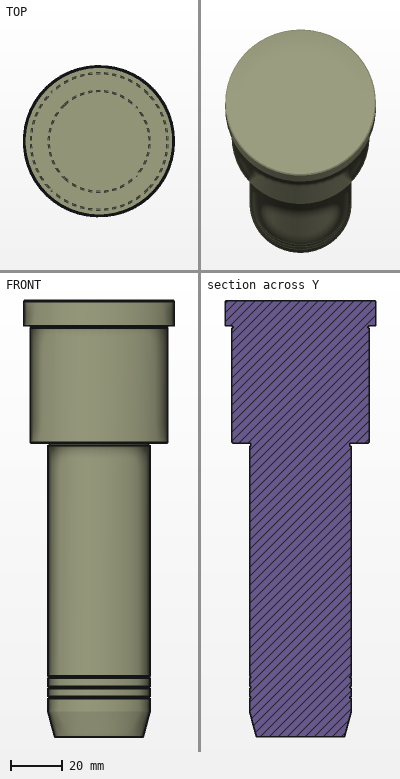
import cadquery as cq
import math

total_length = 171.0
head_diameter = 59.0
head_height = 10.0
collar_diameter = 54.0
collar_end_depth = 56.0
shank_diameter = 40.0

head_chamfer = 0.5
collar_chamfer = 0.5
tip_fillet = 0.5

neck_depth = 0.5
neck_width = 1.0

groove_width = 1.0
groove_depth = 0.5
groove_floor_width = 0.2
ring_groove_count = 3
ring_groove_pitch = 4.0
lowest_ring_groove_z = 15.5

taper_length = 10.0
taper_angle = 15.0

head_radius = head_diameter / 2
collar_radius = collar_diameter / 2
shank_radius = shank_diameter / 2
tip_radius = shank_radius - taper_length * math.tan(math.radians(taper_angle))
head_bottom_z = total_length - head_height
collar_bottom_z = total_length - collar_end_depth
neck_bottom_z = collar_bottom_z - neck_width


def cylinder(radius, bottom_z, top_z):
    """Solid cylinder on the Z axis between two heights."""
    return cq.Workplane("XY", origin=(0, 0, bottom_z)).circle(radius).extrude(top_z - bottom_z)


def revolve_section(points):
    """Solid of revolution about Z from a closed outline of (radius, z) points."""
    return cq.Workplane("XZ").polyline(points).close().revolve(360, (0, 0, 0), (0, 1, 0))


def groove_cutter(radius, groove_z):
    """Ring that cuts a tapered groove into a cylinder, centred on the given height."""
    return revolve_section(
        [
            (radius, groove_z - groove_width / 2),
            (radius - groove_depth, groove_z - groove_floor_width / 2),
            (radius - groove_depth, groove_z + groove_floor_width / 2),
            (radius, groove_z + groove_width / 2),
        ]
    )


def make_head():
    """Flange with a chamfered top edge."""
    return cylinder(head_radius, head_bottom_z, total_length).faces(">Z").edges().chamfer(head_chamfer)


def make_collar():
    """Fitting collar with a tapered groove under the head and a chamfered lower edge."""
    collar = cylinder(collar_radius, collar_bottom_z, head_bottom_z)
    collar = collar.faces("<Z").edges().chamfer(collar_chamfer)
    return collar.cut(groove_cutter(collar_radius, head_bottom_z - groove_width / 2))


def make_shank():
    """Guide shank with a relief neck under the collar and ring grooves near the tip."""
    shank = cylinder(shank_radius, taper_length, neck_bottom_z)
    shank = shank.union(cylinder(shank_radius - neck_depth, neck_bottom_z, collar_bottom_z))
    for index in range(ring_groove_count):
        groove_z = lowest_ring_groove_z + index * ring_groove_pitch
        shank = shank.cut(groove_cutter(shank_radius, groove_z))
    return shank


def make_tip():
    """Conical lead-in with a rounded end."""
    cone = revolve_section([(0, 0), (tip_radius, 0), (shank_radius, taper_length), (0, taper_length)])
    return cone.faces("<Z").edges().fillet(tip_fillet)


result = make_head().union(make_collar()).union(make_shank()).union(make_tip())